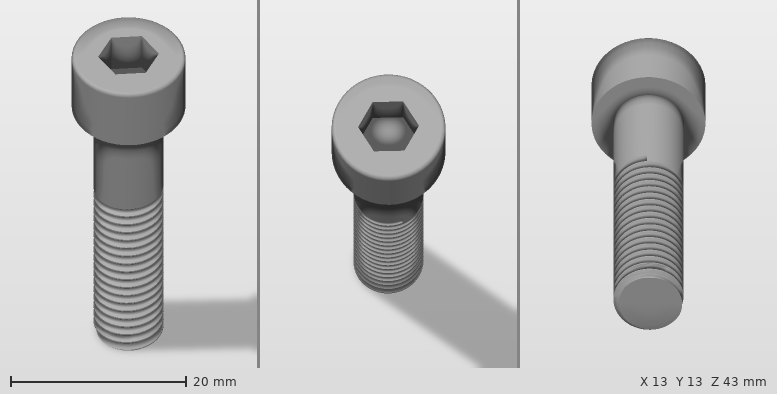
import cadquery as cq
import math

total_length = 43.0
head_diameter = 13.0
head_height = 8.0
head_edge_radius = 0.47
shank_diameter = 8.0
socket_across_flats = 6.0
socket_depth = 5.0

thread_pitch = 1.25
thread_turns = 19
groove_end_height = 22.58
groove_end_angle = 142.5
flank_angle = 30.0
cutter_overhang = 0.05

shank_length = total_length - head_height
shank_radius = shank_diameter / 2
sharp_thread_height = thread_pitch / 2 / math.tan(math.radians(flank_angle))
groove_depth = sharp_thread_height * 5 / 8
groove_root_width = thread_pitch / 4


def make_head():
    head = cq.Workplane("XY").workplane(offset=shank_length).circle(head_diameter / 2).extrude(head_height)
    return head.faces(">Z").edges().fillet(head_edge_radius)


def make_shank():
    return cq.Workplane("XY").circle(shank_radius).extrude(shank_length)


def make_socket():
    across_corners = socket_across_flats / math.cos(math.radians(30))
    socket = cq.Workplane("XY").workplane(offset=total_length - socket_depth)
    return socket.transformed(rotate=(0, 0, 90)).polygon(6, across_corners).extrude(socket_depth)


def make_thread_groove():
    helix_height = thread_turns * thread_pitch
    root_radius = shank_radius - groove_depth
    outer_radius = shank_radius + cutter_overhang
    root_half_width = groove_root_width / 2
    outer_half_width = root_half_width + (outer_radius - root_radius) * math.tan(math.radians(flank_angle))
    profile = cq.Workplane("XZ").polyline([
        (root_radius, -root_half_width),
        (outer_radius, -outer_half_width),
        (outer_radius, outer_half_width),
        (root_radius, root_half_width),
    ]).close()
    helix = cq.Wire.makeHelix(thread_pitch, helix_height, root_radius)
    groove = profile.sweep(cq.Workplane(obj=helix), isFrenet=True)
    groove = groove.rotate((0, 0, 0), (0, 0, 1), groove_end_angle)
    return groove.translate((0, 0, groove_end_height - helix_height))


threaded_shank = make_shank().cut(make_thread_groove())
result = threaded_shank.union(make_head()).cut(make_socket())